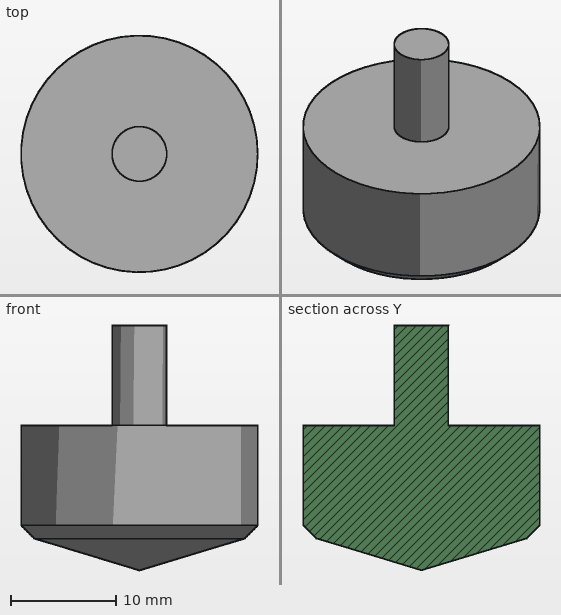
import cadquery as cq

total_height = 23.3
head_diameter = 22.5
head_height = 9.5
stem_diameter = 5.2
stem_length = 9.5
chamfer_size = 1.25

stem_base_z = total_height - stem_length
chamfer_top_z = stem_base_z - head_height
cone_base_z = chamfer_top_z - chamfer_size

head_radius = head_diameter / 2
stem_radius = stem_diameter / 2
cone_radius = head_radius - chamfer_size

half_profile = (
    cq.Workplane("XZ")
    .moveTo(0, 0)
    .lineTo(cone_radius, cone_base_z)
    .lineTo(head_radius, chamfer_top_z)
    .lineTo(head_radius, stem_base_z)
    .lineTo(stem_radius, stem_base_z)
    .lineTo(stem_radius, total_height)
    .lineTo(0, total_height)
    .close()
)

result = half_profile.revolve(360, (0, 0, 0), (0, 1, 0))